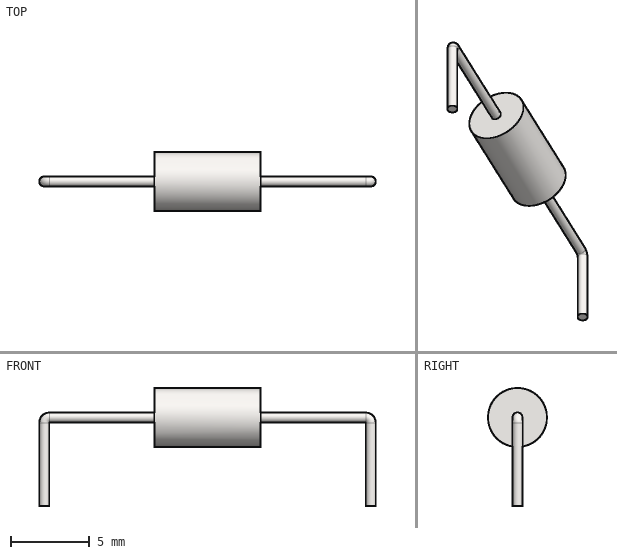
import cadquery as cq

OVERALL_LENGTH = 21.35
OVERALL_HEIGHT = 7.5
BODY_DIAMETER = 3.75
BODY_LENGTH = 6.75
LEAD_DIAMETER = 0.65
INNER_BEND_RADIUS = 0.01

LEAD_RADIUS = LEAD_DIAMETER / 2
BODY_END_X = BODY_LENGTH / 2
LEG_X = OVERALL_LENGTH / 2 - LEAD_RADIUS
LEG_BOTTOM_Z = BODY_DIAMETER / 2 - OVERALL_HEIGHT

BEND_RADIUS = LEAD_RADIUS + INNER_BEND_RADIUS
BEND_X = LEG_X - BEND_RADIUS
BEND_Z = -BEND_RADIUS
BEND_ANGLE = 90


def make_body():
    """Plain cylindrical component body lying along X."""
    return (
        cq.Workplane("YZ", origin=(-BODY_END_X, 0, 0))
        .circle(BODY_DIAMETER / 2)
        .extrude(BODY_LENGTH)
    )


def make_right_lead():
    """Round wire from the +X body face, bent down into a vertical leg."""
    straight = (
        cq.Workplane("YZ", origin=(BODY_END_X, 0, 0))
        .circle(LEAD_RADIUS)
        .extrude(BEND_X - BODY_END_X)
    )
    leg = (
        cq.Workplane("XY", origin=(LEG_X, 0, LEG_BOTTOM_Z))
        .circle(LEAD_RADIUS)
        .extrude(BEND_Z - LEG_BOTTOM_Z)
    )
    elbow = (
        cq.Workplane("YZ", origin=(BEND_X, 0, 0))
        .circle(LEAD_RADIUS)
        .revolve(BEND_ANGLE, (0, BEND_Z, 0), (1, BEND_Z, 0))
    )
    return straight.union(elbow).union(leg)


def make_lead(turn):
    """Lead turned about the vertical axis to its end of the body."""
    return make_right_lead().rotate((0, 0, 0), (0, 0, 1), turn)


body = make_body()
leads = [make_lead(turn).val() for turn in (0, 180)]

result = cq.Compound.makeCompound([body.val(), *leads])